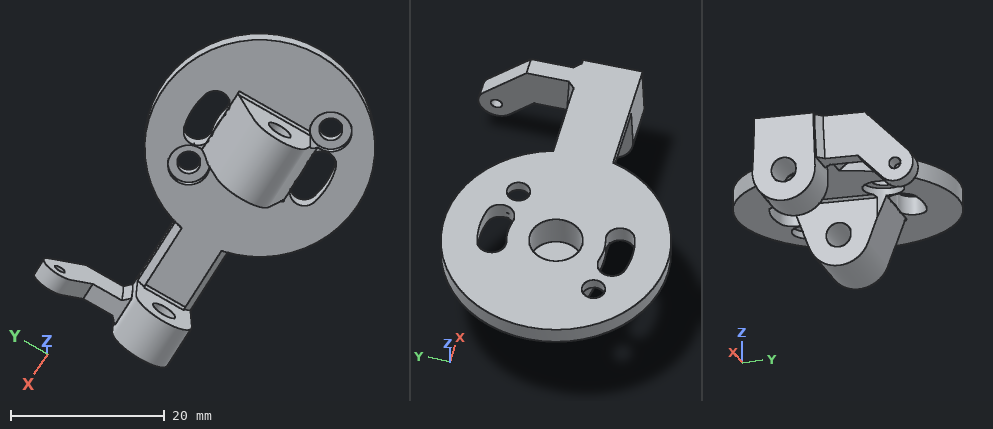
import cadquery as cq
import math

disc_radius = 15.0
plate_thickness = 2.55
pocket_radius = 7.0 / 2
pocket_depth = 4.6
screw_offset = 6.75
screw_hole_radius = 3.03 / 2
screw_clearance_radius = 5.45 / 2
screw_seat_height = 0.95
slot_path_radius = 8.35
slot_width = 3.8
slot_half_angle = 15

arm_end = 45.15 - disc_radius
arm_half_width = 4.0
arm_edge_height = 1.55
arm_edge_bottom = plate_thickness - arm_edge_height

pivot_z = -4.95
lug_radius = 4.25
bore_radius = 1.65
disc_lug_start = -5.0
disc_lug_end = 4.43
disc_lug_half_base = 6.35
arm_lug_start = 24.1
root_chamfer = 0.35

lever_start = 26.2
lever_end = 28.65
lever_tip_y = 14.6
lever_tip_radius = 4.92 / 2
lever_hole_radius = 0.75
lever_underside = -3.45
lever_gusset = 0.9


def cylinder_z(x, y, radius, bottom, top):
    return cq.Workplane("XY", origin=(x, y, bottom)).circle(radius).extrude(top - bottom)


def cylinder_x(y, z, radius, start, end):
    return cq.Workplane("YZ", origin=(start, y, z)).circle(radius).extrude(end - start)


def prism_x(points, start, end):
    """Extrude a closed outline of (Y, Z) points along X."""
    return cq.Workplane("YZ", origin=(start, 0, 0)).polyline(points).close().extrude(end - start)


def lug_outline(half_base, base_z):
    """Two flanks from the base, tangent to the round end about the pivot."""
    base_height = base_z - pivot_z
    base_distance = math.hypot(half_base, base_height)
    tangent_angle = math.atan2(base_height, half_base) - math.acos(lug_radius / base_distance)
    tangent_y = lug_radius * math.cos(tangent_angle)
    tangent_z = pivot_z + lug_radius * math.sin(tangent_angle)
    return (
        cq.Workplane("YZ")
        .moveTo(half_base, base_z)
        .lineTo(tangent_y, tangent_z)
        .threePointArc((0, pivot_z - lug_radius), (-tangent_y, tangent_z))
        .lineTo(-half_base, base_z)
        .close()
    )


def lug(half_base, base_z, start, end):
    return lug_outline(half_base, base_z).extrude(end - start).translate((start, 0, 0))


def root_bevel(face_x, direction, half_length):
    """Small 45 degree strip joining a lug's end face to the plate's underside."""
    return (
        cq.Workplane("XZ", origin=(0, half_length, 0))
        .polyline([(face_x, 0), (face_x + direction * root_chamfer, 0), (face_x, -root_chamfer)])
        .close()
        .extrude(2 * half_length)
    )


def curved_slot():
    """Slot on the +Y side, following a circle about the disc centre."""
    half_angle = math.radians(slot_half_angle)
    half_width = slot_width / 2
    inner = slot_path_radius - half_width
    outer = slot_path_radius + half_width

    def at(radius, angle):
        return (radius * math.sin(angle), radius * math.cos(angle))

    body = (
        cq.Workplane("XY")
        .moveTo(*at(inner, -half_angle))
        .threePointArc(at(inner, 0), at(inner, half_angle))
        .lineTo(*at(outer, half_angle))
        .threePointArc(at(outer, 0), at(outer, -half_angle))
        .close()
        .extrude(plate_thickness)
    )
    for angle in (-half_angle, half_angle):
        body = body.union(cylinder_z(*at(slot_path_radius, angle), half_width, 0, plate_thickness))
    return body


def arm():
    """Straight bar with its lower long edges bevelled at 45 degrees."""
    bottom_half_width = arm_half_width - arm_edge_bottom
    return prism_x(
        [
            (-arm_half_width, plate_thickness),
            (arm_half_width, plate_thickness),
            (arm_half_width, arm_edge_bottom),
            (bottom_half_width, 0),
            (-bottom_half_width, 0),
            (-arm_half_width, arm_edge_bottom),
        ],
        0,
        arm_end,
    )


def gusset_outline(root_y, height):
    """Closed wire widening the lever at 45 degrees down to the line Y = root_y."""
    points = [
        (lever_start - lever_gusset, root_y),
        (lever_start, root_y + lever_gusset),
        (lever_end, root_y + lever_gusset),
        (lever_end + lever_gusset, root_y),
        (lever_end + lever_gusset, 0),
        (lever_start - lever_gusset, 0),
    ]
    return cq.Wire.makePolygon([cq.Vector(x, y, height) for x, y in points], close=True)


def lever():
    """Bar that bends down at 45 degrees to a round tip level with the pivot."""
    tangent = lever_tip_radius * math.sqrt(0.5)
    tip_sum = lever_tip_y + pivot_z
    edge_shift = lever_tip_radius * math.sqrt(2)
    bar = prism_x(
        [
            (0, plate_thickness),
            (tip_sum + edge_shift - plate_thickness, plate_thickness),
            (lever_tip_y + tangent, pivot_z + tangent),
            (lever_tip_y - tangent, pivot_z - tangent),
            (tip_sum - edge_shift - lever_underside, lever_underside),
            (0, lever_underside),
        ],
        lever_start,
        lever_end,
    )
    tip = cylinder_x(lever_tip_y, pivot_z, lever_tip_radius, lever_start, lever_end)
    upper_gusset = cq.Solid.extrudeLinear(
        gusset_outline(arm_half_width, arm_edge_bottom), [], cq.Vector(0, 0, arm_edge_height)
    )
    lower_gusset = cq.Solid.makeLoft(
        [
            gusset_outline(lug_radius, lever_underside),
            gusset_outline(arm_half_width, arm_edge_bottom),
        ],
        True,
    )
    hole = cylinder_x(lever_tip_y, pivot_z, lever_hole_radius, lever_start, lever_end)
    return bar.union(tip).union(cq.Workplane(upper_gusset)).union(cq.Workplane(lower_gusset)).cut(hole)


disc_lug = (
    lug(disc_lug_half_base, 0, disc_lug_start, disc_lug_end)
    .union(root_bevel(disc_lug_start, -1, disc_lug_half_base))
    .union(root_bevel(disc_lug_end, 1, disc_lug_half_base))
)

result = (
    cylinder_z(0, 0, disc_radius, 0, plate_thickness)
    .union(arm())
    .union(disc_lug)
    .union(lug(arm_half_width, arm_edge_bottom, arm_lug_start, arm_end))
    .union(root_bevel(arm_lug_start, -1, arm_half_width - arm_edge_bottom))
    .union(lever())
)

result = result.cut(cylinder_x(0, pivot_z, bore_radius, disc_lug_start, arm_end))

result = result.cut(
    cylinder_z(0, 0, pocket_radius, plate_thickness - pocket_depth, plate_thickness)
)
slot = curved_slot()
result = result.cut(slot).cut(slot.mirror("XZ"))

for x, y in [(-screw_offset, -screw_offset), (screw_offset, screw_offset)]:
    result = result.cut(cylinder_z(x, y, screw_hole_radius, 0, plate_thickness))
    result = result.cut(
        cylinder_z(x, y, screw_clearance_radius, pivot_z - lug_radius, screw_seat_height)
    )